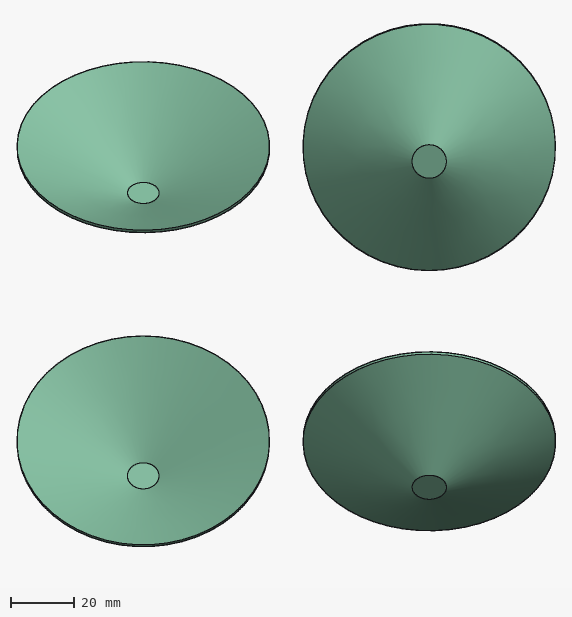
import cadquery as cq

rim_radius = 40.0
height = 21.0
rim_height = 1.1
base_radius = 5.4
floor_diameter = 10.0
floor_thickness = 1.0

half_section = (
    cq.Workplane("XZ")
    .moveTo(0, 0)
    .lineTo(base_radius, 0)
    .lineTo(rim_radius, height - rim_height)
    .lineTo(rim_radius, height)
    .lineTo(floor_diameter / 2, floor_thickness)
    .lineTo(0, floor_thickness)
    .close()
)

result = half_section.revolve(360, (0, 0, 0), (0, 1, 0))